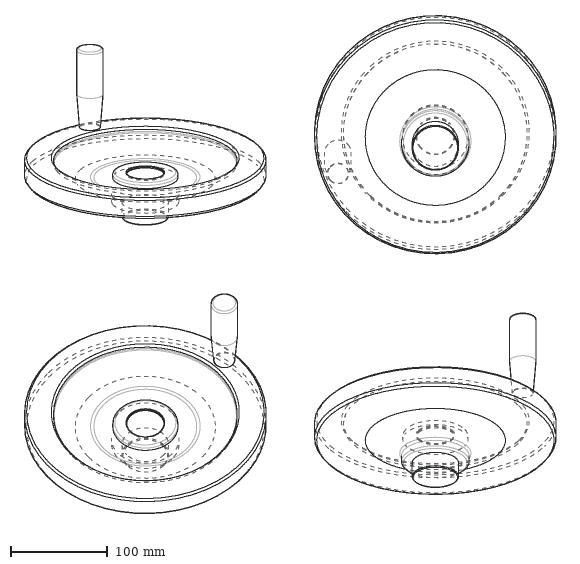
import cadquery as cq

total_height = 152.5
rim_top = 65.8
rim_bottom = 43.0
flange_bottom = 16.8
flange_top = 27.0
dish_floor = 44.0
boss_top = 49.8

rim_radius = 125.0
rim_top_chamfer = 2.2
rim_bottom_chamfer_width = 2.2
rim_bottom_chamfer_height = 3.0

mouth_radius = 95.0
mouth_chamfer_width = 2.2
mouth_chamfer_height = 2.8
mouth_depth = 5.8
mouth_fillet = 1.2

floor_radius = 55.0
floor_fillet = 9.5
boss_radius = 33.8
boss_fillet = 2.2
recess_radius = 19.2
recess_depth = 2.0
recess_chamfer = 0.8

web_outer_radius = 72.5
flange_radius = 35.0
flange_fillet = 2.0
web_fillet = 3.0
hub_radius = 24.0
hub_chamfer = 1.0

handle_x = -110.0
handle_radius = 13.8
handle_shoulder = 102.2
handle_top_fillet = 2.0
handle_foot_radius = 11.0
handle_foot_chamfer = 0.5
handle_root_depth = 2.5


def revolve_profile(points):
    """Revolve a closed (radius, height) outline about the Z axis."""
    return cq.Workplane("XZ").polyline(points).close().revolve(360, (0, 0, 0), (0, 1, 0))


def fillet_circle(body, radius, height, fillet_radius):
    """Fillet the circular edge of a revolved body found at this radius and height."""
    tolerance = 0.002

    def is_wanted(edge):
        if edge.geomType() != "CIRCLE":
            return False
        same_radius = abs(edge.radius() - radius) < tolerance
        same_height = abs(edge.Center().z - height) < tolerance
        return same_radius and same_height

    return body.edges().filter(is_wanted).fillet(fillet_radius)


def make_wheel():
    underside = [
        (0, 0),
        (hub_radius - hub_chamfer, 0),
        (hub_radius, hub_chamfer),
        (hub_radius, flange_bottom),
        (flange_radius, flange_bottom),
        (flange_radius, flange_top),
        (web_outer_radius, rim_bottom),
    ]
    rim = [
        (rim_radius - rim_bottom_chamfer_width, rim_bottom),
        (rim_radius, rim_bottom + rim_bottom_chamfer_height),
        (rim_radius, rim_top - rim_top_chamfer),
        (rim_radius - rim_top_chamfer, rim_top),
    ]
    dish = [
        (mouth_radius + mouth_chamfer_width, rim_top),
        (mouth_radius, rim_top - mouth_chamfer_height),
        (mouth_radius, rim_top - mouth_depth),
        (floor_radius, dish_floor),
    ]
    boss = [
        (boss_radius, dish_floor),
        (boss_radius, boss_top),
        (recess_radius + recess_chamfer, boss_top),
        (recess_radius, boss_top - recess_chamfer),
        (recess_radius, boss_top - recess_depth),
        (0, boss_top - recess_depth),
    ]
    wheel = revolve_profile(underside + rim + dish + boss)
    wheel = fillet_circle(wheel, flange_radius, flange_bottom, flange_fillet)
    wheel = fillet_circle(wheel, flange_radius, flange_top, web_fillet)
    wheel = fillet_circle(wheel, mouth_radius, rim_top - mouth_depth, mouth_fillet)
    wheel = fillet_circle(wheel, floor_radius, dish_floor, floor_fillet)
    return fillet_circle(wheel, boss_radius, boss_top, boss_fillet)


def make_handle():
    root_radius = handle_foot_radius - handle_foot_chamfer
    handle = revolve_profile([
        (0, rim_top - handle_root_depth),
        (root_radius, rim_top - handle_root_depth),
        (root_radius, rim_top),
        (handle_foot_radius, rim_top + handle_foot_chamfer),
        (handle_radius, handle_shoulder),
        (handle_radius, total_height),
        (0, total_height),
    ])
    handle = fillet_circle(handle, handle_radius, total_height, handle_top_fillet)
    return handle.translate((handle_x, 0, 0))


result = make_wheel().union(make_handle())